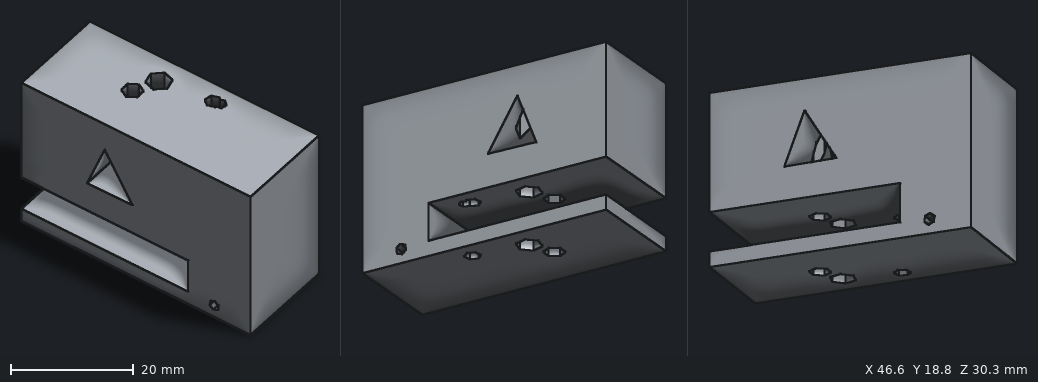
import cadquery as cq
import math

length = 46.65
depth = 18.75
height = 30.3

plate_thickness = 2.75
slot_top = 9.55
slot_length = 33.95

window_corners = [(17.0, 24.7), (13.4, 15.5), (22.6, 15.62)]

vertical_holes = [
    ((17.75, 13.75), 2.25, 43.5),
    ((15.65, 9.35), 1.8, 32.0),
    ((27.8, 15.05), 1.4, 19.0),
]

short_hole_center = (29.05, 15.3)
short_hole_radius = 1.05
short_hole_angle = 20.0

cross_hole_center = (39.22, 2.55)
cross_hole_radius = 1.0
cross_hole_angle = 22.0


def hexagon(center, radius, first_angle):
    """Corner points of a regular hexagon turned to first_angle degrees."""
    sides = 6
    angles = [math.radians(first_angle + 360 * i / sides) for i in range(sides)]
    return [(center[0] + radius * math.cos(a), center[1] + radius * math.sin(a)) for a in angles]


def vertical_prism(corners, bottom):
    """Prism from the bottom level up to the top face."""
    return cq.Workplane("XY", origin=(0, 0, bottom)).polyline(corners).close().extrude(height - bottom)


def cross_prism(corners):
    """Prism along Y through the whole depth, from (X, Z) corners."""
    return cq.Workplane("XZ").polyline(corners).close().extrude(-depth)


block = cq.Workplane("XY").box(length, depth, height, centered=False)

slot = cq.Workplane("XY", origin=(0, 0, plate_thickness)).box(
    slot_length, depth, slot_top - plate_thickness, centered=False
)
result = block.cut(slot)

result = result.cut(cross_prism(window_corners))
result = result.cut(cross_prism(hexagon(cross_hole_center, cross_hole_radius, cross_hole_angle)))

for center, radius, first_angle in vertical_holes:
    result = result.cut(vertical_prism(hexagon(center, radius, first_angle), 0))

short_hole = hexagon(short_hole_center, short_hole_radius, short_hole_angle)
result = result.cut(vertical_prism(short_hole, slot_top))